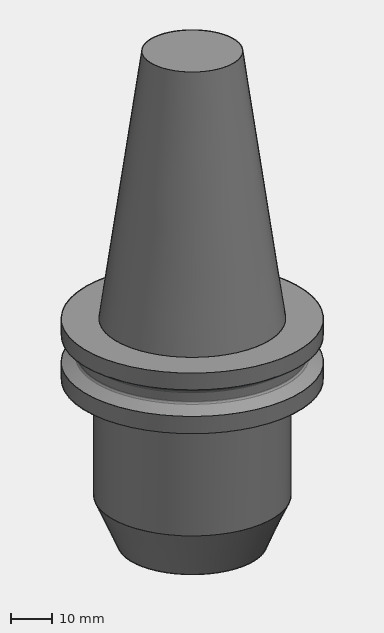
import cadquery as cq

total_height = 131.4
nose_height = 13.0
flange_bottom = 43.9
flange_top = 60.0
groove_lower_edge = 48.5
groove_floor_bottom = 50.3
groove_floor_top = 53.5
groove_upper_edge = 55.6

nose_diameter = 36.3
body_diameter = 48.0
flange_diameter = 63.6
groove_diameter = 56.0
taper_base_diameter = 45.3

groove_fillet = 0.7
flange_fillet = 0.7

taper_ratio = 7 / 24
taper_tip_diameter = taper_base_diameter - taper_ratio * (total_height - flange_top)

profile_steps = [
    (0, 0),
    (nose_diameter, 0),
    (body_diameter, nose_height),
    (body_diameter, flange_bottom),
    (flange_diameter, flange_bottom),
    (flange_diameter, groove_lower_edge),
    (groove_diameter, groove_floor_bottom),
    (groove_diameter, groove_floor_top),
    (flange_diameter, groove_upper_edge),
    (flange_diameter, flange_top),
    (taper_base_diameter, flange_top),
    (taper_tip_diameter, total_height),
    (0, total_height),
]
half_profile = [(diameter / 2, height) for diameter, height in profile_steps]

holder = cq.Workplane("XZ").polyline(half_profile).close().revolve(360, (0, 0), (0, 1))


def fillet_ring(body, diameter, height, radius):
    """Round the circular edge with the given diameter and height."""
    margin = 0.1
    reach = diameter / 2 + margin
    ring = cq.selectors.BoxSelector(
        (-reach, -reach, height - margin),
        (reach, reach, height + margin),
        boundingbox=True,
    )
    return body.edges(ring).fillet(radius)


holder = fillet_ring(holder, groove_diameter, groove_floor_bottom, groove_fillet)
holder = fillet_ring(holder, groove_diameter, groove_floor_top, groove_fillet)
result = fillet_ring(holder, body_diameter, flange_bottom, flange_fillet)